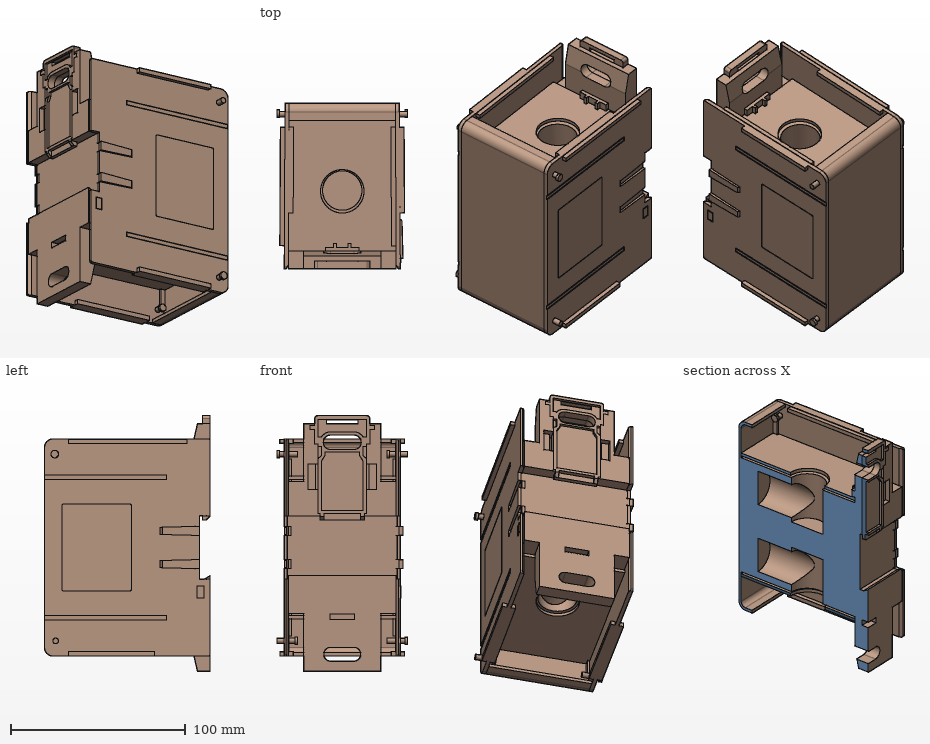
import cadquery as cq
import math


DEPTH = 95.0
PLATE_TOP = 62.3
PLATE_THICK = 2.3
PLATE_INNER = 30.9
PLATE_LEAN = 0.3
FRONT_RADIUS = 5.1
BACK_RADIUS = 1.2
EDGE_BEVEL_X = 1.2
EDGE_BEVEL_Y = 2.0
RAIL_HALF = 18.2
RAIL_DEPTH = 6.0
REBATE_WIDTH = 0.6
REBATE_END = 8.8
RIDGE_HEIGHT = 2.6
RIDGE_TALL = 2.6
LONG_RIDGE_DROP = 0.3
RIDGE_FRONT = 81.2
LONG_RIDGE_BACK = 13.2
SHORT_RIDGE_BACK = 32.0
TONGUE_ROOT_OFFSET = 1.6
TONGUE_TIP_OFFSET = 1.2
TONGUE_SETBACK = 0.1
TONGUE_END = 28.6
TONGUE_END_SLOPE = 1.2
TONGUE_Z = 9.5
TONGUE_ROOT_HALF = 2.6
TONGUE_TIP_HALF = 2.0
KEY_OFFSET = 0.5
KEY_BACK, KEY_FRONT = 3.5, 7.5
KEY_LOW, KEY_HIGH = -29.0, -22.1
GROOVE_DEPTH = 0.5
GROOVE_BACK = 24.9
GROOVE_LOW, GROOVE_HIGH = 39.0, 41.5
LABEL_DEPTH = 0.1
LABEL_BACK, LABEL_FRONT = 45.1, 84.9
LABEL_HALF = 24.9
LABEL_RADIUS = 0.9

PIN_Y, PIN_Z = 88.5, 53.5
PIN_RADIUS = 1.6
PIN_OUTER, PIN_INNER = 37.5, 25.5
HEAD_RADIUS = 2.2
HEAD_THICK = 1.6
HEAD_SHIFT = 0.5

CORE_TOP = 37.8
LIP_HEIGHT = 2.0
LIP_DEPTH = 3.5
SHELL_THICK = 2.0
SHELL_RETURN_BACK = 85.0
POST_WIDTH = 1.8
POST_DEPTH = 3.0
POST_TOP = 50.5
TAB_HALF = 22.1
TAB_TOP = 71.0
TAB_TIP_DEPTH = 7.3
TAB_ROOT_DEPTH = 10.1
TAB_TAPER_END = 58.5
BORE_Y = 44.8
BORE_RADIUS = 11.3
BORE_DEPTH = 29.3
CROSS_BORE_RADIUS = 10.8
CROSS_BORE_Z = 22.1
CROSS_BORE_END = 80.6
LOWER_HOLE_HALF, LOWER_HOLE_RADIUS, LOWER_HOLE_Z = 10.5, 4.0, -61.1
HOOK_SLOT_HALF = 7.0
HOOK_SLOT_LOW, HOOK_SLOT_HIGH = -41.3, -38.0
HOOK_SLOT_DEPTH = 4.4
WINDOW_OUTER = 19.5
WINDOW_STEP = 15.4
WINDOW_LOW, WINDOW_HIGH = 33.3, 47.9
WINDOW_DEPTH = 3.0
STOP_HALF = 9.5
STOP_FRONT = 12.3
STOP_TOP = 45.5
HOOK_INNER, HOOK_OUTER = 3.2, 5.0
HOOK_FRONT = 14.4

COVER_LOW, COVER_HIGH = 38.8, 40.9
COVER_HOLE_RADIUS = 12.5
COVER_HOLE_Y = 44.4

LATCH_TOP = 75.6
LATCH_THICK = 4.4
HANDLE_HALF = 15.8
HANDLE_LOW = 59.2
HANDLE_RADIUS = 1.8
SLIDE_HALF = 13.9
SLIDE_LOW = 19.3
CATCH_HALF = 12.6
CATCH_FACE_HALF = 10.4
CATCH_LOW = 15.7
CATCH_BEVEL = 2.2
EAR_HALF = 18.5
EAR_LOW, EAR_HIGH = 67.7, 69.9
HANDLE_RECESS_LOW, HANDLE_RECESS_HIGH = 63.3, 73.4
RECESS_DEPTH = 1.5
GRIP_HALF = 9.0
GRIP_LOW, GRIP_HIGH = 70.8, 73.1
LATCH_HOLE_HALF, LATCH_HOLE_RADIUS, LATCH_HOLE_Z = 10.8, 4.1, 60.2
RIM = 1.9
PANEL_HALF, PANEL_NECK_HALF = 11.9, 10.0
PANEL_LOW, PANEL_SHOULDER, PANEL_NECK, PANEL_TOP = 21.1, 49.7, 52.6, 54.7
NOTCH_LOW, NOTCH_HIGH = 50.9, 57.7
NOTCH_SLOPE = 1.8


def box(x0, x1, y0, y1, z0, z1):
    """Box between the given limits."""
    return cq.Workplane("XY").box(x1 - x0, y1 - y0, z1 - z0, centered=False).translate((x0, y0, z0))


def side_prism(points, x0, x1):
    """Prism of a (Y, Z) outline from x0 to x1."""
    return cq.Workplane("YZ").workplane(offset=x0).polyline(points).close().extrude(x1 - x0)


def face_prism(points, depth):
    """Prism of an (X, Z) outline from Y = 0 to Y = depth."""
    return cq.Workplane("XZ").polyline(points).close().extrude(-depth)


def oblong(half_width, radius, z, depth):
    """Oblong with rounded ends lying along X, from Y = 0 to Y = depth."""
    return cq.Workplane("XZ").center(0, z).slot2D(2 * half_width, 2 * radius).extrude(-depth)


def body_between_plates(z0, z1):
    """Block that fills the tapering space between the two plates."""
    front_half = PLATE_INNER - DEPTH * math.tan(math.radians(PLATE_LEAN))
    outline = [(-PLATE_INNER, 0), (PLATE_INNER, 0), (front_half, DEPTH), (-front_half, DEPTH)]
    return cq.Workplane("XY").workplane(offset=z0).polyline(outline).close().extrude(z1 - z0)


def make_pin(side, level):
    """Coupling pin through one plate, headed at its -X end when upper and at its +X end when lower."""
    x0, x1 = sorted((side * PIN_OUTER, side * PIN_INNER))
    z = level * PIN_Z
    head_x = x0 if level > 0 else x1 - HEAD_THICK
    shank = cq.Workplane("YZ").workplane(offset=x0).center(PIN_Y, z).circle(PIN_RADIUS).extrude(x1 - x0)
    head_plane = cq.Workplane("YZ").workplane(offset=head_x).center(PIN_Y + HEAD_SHIFT, z)
    return shank.union(head_plane.circle(HEAD_RADIUS).extrude(HEAD_THICK))


def plate_sheet():
    """Flat plate between X = 0 and X = PLATE_THICK with rounded corners and the rail slot."""
    sheet = box(0, PLATE_THICK, 0, DEPTH, -PLATE_TOP, PLATE_TOP)
    sheet = sheet.edges("|X and >Y").fillet(FRONT_RADIUS).edges("|X and <Y").fillet(BACK_RADIUS)
    return sheet.cut(box(0, PLATE_THICK, 0, RAIL_DEPTH, -RAIL_HALF, RAIL_HALF))


def place_beside(shape, side):
    """Lean a shape built against X = 0 and move it to the inner face of a plate."""
    return shape.rotate((0, 0, 0), (0, 0, 1), side * PLATE_LEAN).translate((side * PLATE_INNER, 0, 0))


def tongues(x):
    """Two tapered tongues, raised in +X above the plane at the given x."""
    profile = cq.Workplane("XY").workplane(offset=-RAIL_HALF).polyline(
        [(x, RAIL_DEPTH), (x, TONGUE_END), (x + TONGUE_TIP_OFFSET, TONGUE_END - TONGUE_END_SLOPE),
         (x + TONGUE_ROOT_OFFSET, RAIL_DEPTH)]).close().extrude(2 * RAIL_HALF)
    shapes = []
    for z in (-TONGUE_Z, TONGUE_Z):
        outline = [(RAIL_DEPTH, z - TONGUE_ROOT_HALF), (TONGUE_END, z - TONGUE_TIP_HALF),
                   (TONGUE_END, z + TONGUE_TIP_HALF), (RAIL_DEPTH, z + TONGUE_ROOT_HALF)]
        shapes.append(side_prism(outline, x, x + TONGUE_ROOT_OFFSET).intersect(profile))
    return shapes


def pressed_shapes(x):
    """The key and the two tongues, raised in +X above the plane at the given x."""
    key = box(x, x + KEY_OFFSET, KEY_BACK, KEY_FRONT, KEY_LOW, KEY_HIGH)
    return [key, *tongues(x)]


def make_plate(side):
    """Side plate: side is -1 for the left plate and +1 for the right one."""
    plate = plate_sheet()
    outer_x = 0 if side < 0 else PLATE_THICK
    inner_x = PLATE_THICK - outer_x

    bevel = cq.Workplane("XY").workplane(offset=-PLATE_TOP).polyline(
        [(inner_x, 0), (inner_x + side * EDGE_BEVEL_X, 0), (inner_x, EDGE_BEVEL_Y)]).close()
    plate = plate.cut(bevel.extrude(2 * PLATE_TOP))

    x0, x1 = sorted((inner_x, inner_x + side * REBATE_WIDTH))
    rebate = box(x0, x1, RAIL_DEPTH, REBATE_END, -RAIL_HALF, RAIL_HALF)
    for z in (-TONGUE_Z, TONGUE_Z):
        rebate = rebate.cut(box(x0, x1, RAIL_DEPTH, REBATE_END, z - TONGUE_ROOT_HALF, z + TONGUE_ROOT_HALF))
    plate = plate.cut(rebate)

    for raised in pressed_shapes(PLATE_THICK):
        plate = plate.union(raised)
    for sunk in pressed_shapes(0):
        plate = plate.cut(sunk)

    left_x = (-RIDGE_HEIGHT, 0)
    right_x = (PLATE_THICK, PLATE_THICK + RIDGE_HEIGHT)
    ridge_base = PLATE_TOP - RIDGE_TALL
    long_top = PLATE_TOP - LONG_RIDGE_DROP
    plate = plate.union(box(*left_x, LONG_RIDGE_BACK, RIDGE_FRONT, ridge_base, long_top))
    plate = plate.union(box(*right_x, SHORT_RIDGE_BACK, RIDGE_FRONT, ridge_base, PLATE_TOP))
    for ridge_x in (left_x, right_x):
        plate = plate.union(box(*ridge_x, SHORT_RIDGE_BACK, RIDGE_FRONT, -PLATE_TOP, -ridge_base))

    for level in (-1, 1):
        z0, z1 = sorted((level * GROOVE_LOW, level * GROOVE_HIGH))
        x0, x1 = sorted((outer_x, outer_x - side * GROOVE_DEPTH))
        plate = plate.cut(box(x0, x1, GROOVE_BACK, DEPTH, z0, z1))
    x0, x1 = sorted((outer_x, outer_x - side * LABEL_DEPTH))
    label = box(x0, x1, LABEL_BACK, LABEL_FRONT, -LABEL_HALF, LABEL_HALF).edges("|X").fillet(LABEL_RADIUS)
    plate = plate.cut(label)

    plate = place_beside(plate.translate((-inner_x, 0, 0)), side)
    for level in (-1, 1):
        plate = plate.cut(make_pin(side, level))
    return plate


def make_cover(level):
    """Slab with a round opening, above (+1) or below (-1) the core."""
    z0, z1 = sorted((level * COVER_LOW, level * COVER_HIGH))
    cover = body_between_plates(z0, z1).intersect(
        box(-PLATE_INNER, PLATE_INNER, TAB_ROOT_DEPTH, DEPTH - SHELL_THICK, z0, z1))
    hole = cq.Workplane("XY").workplane(offset=z0).center(0, COVER_HOLE_Y).circle(COVER_HOLE_RADIUS)
    cover = cover.cut(hole.extrude(z1 - z0))
    for side in (-1, 1):
        cover = cover.cut(post(side))
    return cover


def post(side):
    """Slim post in a front corner of the housing, standing out above and below the core."""
    x0, x1 = sorted((side * PLATE_INNER, side * (PLATE_INNER - POST_WIDTH)))
    wall = DEPTH - SHELL_THICK
    return box(x0, x1, wall - POST_DEPTH, wall, -POST_TOP, POST_TOP)


def front_shell():
    """Front wall with rounded returns at the top and bottom."""
    outer = box(-PLATE_INNER, PLATE_INNER, SHELL_RETURN_BACK, DEPTH, -PLATE_TOP, PLATE_TOP)
    outer = outer.edges("|X and >Y").fillet(FRONT_RADIUS)
    inner_top = PLATE_TOP - SHELL_THICK
    inner = box(-PLATE_INNER, PLATE_INNER, SHELL_RETURN_BACK, DEPTH - SHELL_THICK, -inner_top, inner_top)
    return outer.cut(inner.edges("|X and >Y").fillet(FRONT_RADIUS - SHELL_THICK))


def make_latch():
    """Sliding latch with handle, ears, screw hole, sunk panel and a rail catch at its lower end."""
    latch = box(-HANDLE_HALF, HANDLE_HALF, 0, LATCH_THICK, HANDLE_LOW, LATCH_TOP)
    latch = latch.edges("|Y and >Z").fillet(HANDLE_RADIUS)
    latch = latch.union(box(-SLIDE_HALF, SLIDE_HALF, 0, LATCH_THICK, SLIDE_LOW, HANDLE_LOW))
    latch = latch.union(box(-EAR_HALF, EAR_HALF, 0, LATCH_THICK, EAR_LOW, EAR_HIGH))

    catch = box(-CATCH_HALF, CATCH_HALF, 0, LATCH_THICK, CATCH_LOW, SLIDE_LOW)
    catch = catch.edges("|X and <Y and <Z").chamfer(CATCH_BEVEL)
    face_gap = box(-CATCH_FACE_HALF, CATCH_FACE_HALF, 0, CATCH_BEVEL, CATCH_LOW, SLIDE_LOW)
    latch = latch.union(catch.cut(face_gap))

    recess = box(-SLIDE_HALF, SLIDE_HALF, 0, RECESS_DEPTH, HANDLE_RECESS_LOW, HANDLE_RECESS_HIGH)
    rim = oblong(LATCH_HOLE_HALF + RIM, LATCH_HOLE_RADIUS + RIM, LATCH_HOLE_Z, RECESS_DEPTH)
    latch = latch.cut(recess.cut(rim))
    latch = latch.cut(box(-GRIP_HALF, GRIP_HALF, 0, LATCH_THICK, GRIP_LOW, GRIP_HIGH))
    latch = latch.cut(oblong(LATCH_HOLE_HALF, LATCH_HOLE_RADIUS, LATCH_HOLE_Z, LATCH_THICK))

    right_edge = [(PANEL_HALF, PANEL_LOW), (PANEL_HALF, PANEL_SHOULDER),
                  (PANEL_NECK_HALF, PANEL_NECK), (PANEL_NECK_HALF, PANEL_TOP)]
    left_edge = [(-x, z) for x, z in reversed(right_edge)]
    latch = latch.cut(face_prism(right_edge + left_edge, RECESS_DEPTH))

    for side in (-1, 1):
        notch = [(side * SLIDE_HALF, NOTCH_LOW), (side * PANEL_HALF, NOTCH_LOW + NOTCH_SLOPE),
                 (side * PANEL_HALF, NOTCH_HIGH), (side * SLIDE_HALF, NOTCH_HIGH)]
        latch = latch.cut(face_prism(notch, RECESS_DEPTH))
    return latch


def latch_channel():
    """Space for the latch, open at the mounting face."""
    channel = box(-SLIDE_HALF, SLIDE_HALF, 0, LATCH_THICK, SLIDE_LOW, HANDLE_LOW)
    channel = channel.union(box(-CATCH_HALF, CATCH_HALF, 0, LATCH_THICK, CATCH_LOW, SLIDE_LOW))
    channel = channel.union(box(-HANDLE_HALF, HANDLE_HALF, 0, LATCH_THICK, HANDLE_LOW, LATCH_TOP))
    return channel.union(box(-EAR_HALF, EAR_HALF, 0, LATCH_THICK, EAR_LOW, EAR_HIGH))


def make_housing(plates):
    """Core, front shell, corner posts and screw tabs as one moulding."""
    housing = body_between_plates(-CORE_TOP, CORE_TOP).intersect(
        box(-PLATE_INNER, PLATE_INNER, 0, DEPTH - SHELL_THICK, -CORE_TOP, CORE_TOP))
    front = front_shell().union(post(-1)).union(post(1))
    housing = housing.union(front.intersect(body_between_plates(-PLATE_TOP, PLATE_TOP)))
    tab_outline = [(0, TAB_TOP), (TAB_TIP_DEPTH, TAB_TOP), (TAB_ROOT_DEPTH, TAB_TAPER_END)]
    tab_outline += [(y, -z) for y, z in reversed(tab_outline)]
    housing = housing.union(side_prism(tab_outline, -TAB_HALF, TAB_HALF))

    rebate_half = PLATE_INNER + REBATE_WIDTH
    rebate_fill = box(-rebate_half, rebate_half, RAIL_DEPTH, REBATE_END, -RAIL_HALF, RAIL_HALF)
    housing = housing.union(rebate_fill)
    for tongue in tongues(0):
        housing = housing.union(place_beside(tongue.translate((0, -TONGUE_SETBACK, 0)), 1))

    housing = housing.union(box(-STOP_HALF, STOP_HALF, 0, STOP_FRONT, COVER_HIGH, STOP_TOP))
    for side in (-1, 1):
        x0, x1 = sorted((side * HOOK_INNER, side * HOOK_OUTER))
        housing = housing.union(box(x0, x1, 0, HOOK_FRONT, COVER_HIGH, STOP_TOP))

    slot_half = PLATE_INNER + TONGUE_ROOT_OFFSET
    slot = [(0, RAIL_HALF), (RAIL_DEPTH, RAIL_HALF), (RAIL_DEPTH, -RAIL_HALF),
            (LIP_DEPTH, -RAIL_HALF), (0, LIP_HEIGHT - RAIL_HALF)]
    housing = housing.cut(side_prism(slot, -slot_half, slot_half))

    housing = housing.cut(latch_channel())
    for side in (-1, 1):
        for reach, depth in ((WINDOW_OUTER, WINDOW_DEPTH), (WINDOW_STEP, 2 * WINDOW_DEPTH)):
            x0, x1 = sorted((side * SLIDE_HALF, side * reach))
            housing = housing.cut(box(x0, x1, 0, depth, WINDOW_LOW, WINDOW_HIGH))
    housing = housing.cut(oblong(LATCH_HOLE_HALF, LATCH_HOLE_RADIUS, LATCH_HOLE_Z, TAB_ROOT_DEPTH))
    housing = housing.cut(oblong(LOWER_HOLE_HALF, LOWER_HOLE_RADIUS, LOWER_HOLE_Z, TAB_ROOT_DEPTH))
    hook_slot = box(-HOOK_SLOT_HALF, HOOK_SLOT_HALF, 0, HOOK_SLOT_DEPTH, HOOK_SLOT_LOW, HOOK_SLOT_HIGH)
    housing = housing.cut(hook_slot)

    for level in (-1, 1):
        bore = cq.Workplane("XY").workplane(offset=level * CORE_TOP).center(0, BORE_Y).circle(BORE_RADIUS)
        housing = housing.cut(bore.extrude(-level * BORE_DEPTH))
        cross_bore = cq.Workplane("XZ").workplane(offset=-BORE_Y).center(0, level * CROSS_BORE_Z)
        housing = housing.cut(cross_bore.circle(CROSS_BORE_RADIUS).extrude(BORE_Y - CROSS_BORE_END))

    for plate in plates:
        housing = housing.cut(plate)
    return housing


plates = [make_plate(side) for side in (-1, 1)]
pins = [make_pin(side, level) for side in (-1, 1) for level in (-1, 1)]
covers = [make_cover(level) for level in (-1, 1)]
latch = make_latch()
housing = make_housing(plates)

result = cq.Compound.makeCompound([body.val() for body in [housing, latch, *covers, *plates, *pins]])